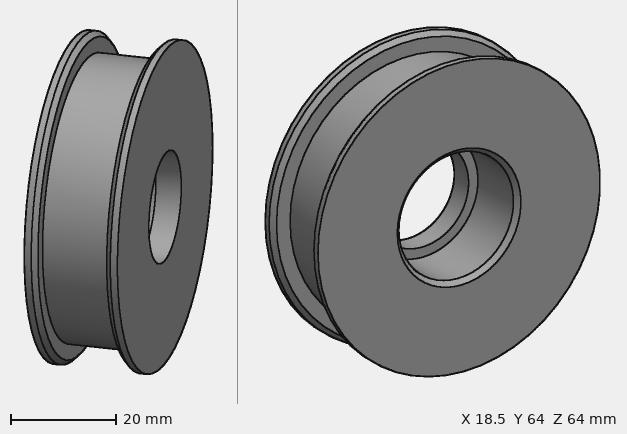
import cadquery as cq

outer_diameter = 64.0
width = 18.5
tread_diameter = 55.8
flange_thickness = 2.4
flange_chamfer = 1.0

through_diameter = 21.75
seat_diameter = 26.0
seat_depth = 13.45
seat_chamfer = 1.0

outer_radius = outer_diameter / 2
tread_radius = tread_diameter / 2
through_radius = through_diameter / 2
seat_radius = seat_diameter / 2

left_face = -width / 2
right_face = width / 2
left_inner = left_face + flange_thickness
right_inner = right_face - flange_thickness
seat_floor = left_face + seat_depth

half_section = [
    (left_face, seat_radius + seat_chamfer),
    (left_face, outer_radius),
    (left_inner - flange_chamfer, outer_radius),
    (left_inner, outer_radius - flange_chamfer),
    (left_inner, tread_radius),
    (right_inner, tread_radius),
    (right_inner, outer_radius - flange_chamfer),
    (right_inner + flange_chamfer, outer_radius),
    (right_face, outer_radius),
    (right_face, through_radius),
    (seat_floor, through_radius),
    (seat_floor, seat_radius),
    (left_face + seat_chamfer, seat_radius),
]

result = cq.Workplane("XY").polyline(half_section).close().revolve(360, (0, 0, 0), (1, 0, 0))